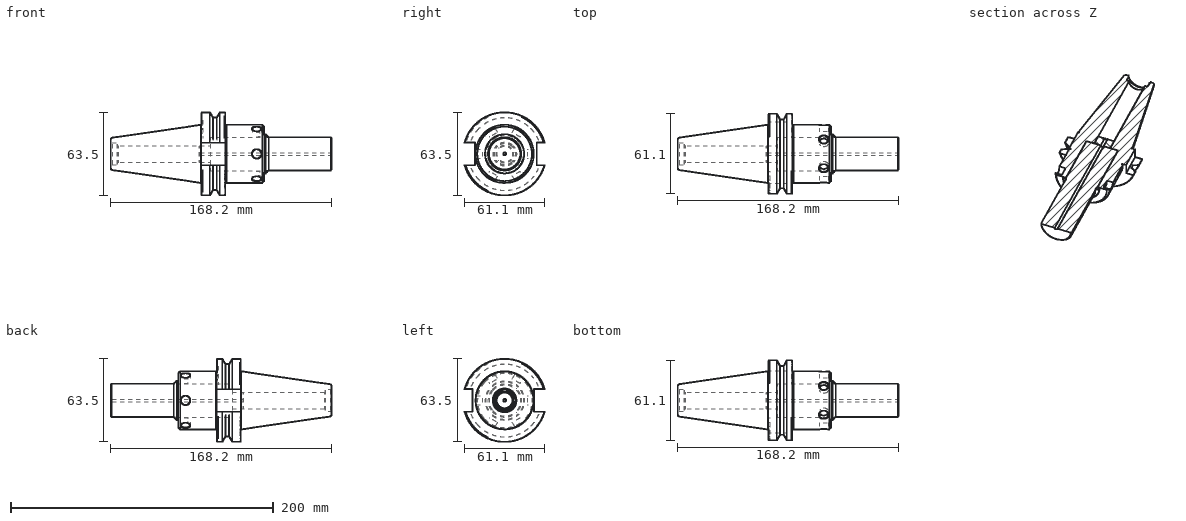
import cadquery as cq
import math

TOTAL_LENGTH = 168.2

TAPER_RATIO = 7 / 24
GAUGE_X = 68.3
GAUGE_DIAMETER = 44.5
TAPER_END_DIAMETER = GAUGE_DIAMETER - GAUGE_X * TAPER_RATIO
TAPER_END_ROUND = 2.0
RELIEF_START_X = 68.8
RELIEF_DIAMETER = 43.7

FLANGE_START_X = 69.2
FLANGE_END_X = 87.3
FLANGE_DIAMETER = 63.5
FLANGE_ROUND = 0.8
GROOVE_CENTRE_X = 79.4
GROOVE_FLOOR_WIDTH = 2.9
GROOVE_FLOOR_DIAMETER = 55.4
GROOVE_FLOOR_ROUND = 0.3
GROOVE_HALF_ANGLE = 30.0
GROOVE_DEPTH = (FLANGE_DIAMETER - GROOVE_FLOOR_DIAMETER) / 2
GROOVE_MOUTH_WIDTH = GROOVE_FLOOR_WIDTH + 2 * GROOVE_DEPTH * math.tan(math.radians(GROOVE_HALF_ANGLE))
SLOT_WIDTH = 17.2
FRONT_SLOT_FLOOR_Y = -22.5
BACK_SLOT_FLOOR_Y = 24.5

HEAD_END_X = 116.8
HEAD_DIAMETER = 44.5
HEAD_REAR_CHAMFER = 1.0
HEAD_FRONT_CHAMFER = 1.5

RADIAL_HOLE_COUNT = 6
RADIAL_HOLE_DIAMETER = 6.9
RADIAL_HOLE_CHAMFER = 0.25
RADIAL_HOLE_X = 111.2
RADIAL_HOLE_DEPTH = 5.0

MOUTH_DIAMETER = 18.2
MOUTH_CONE_LENGTH = 1.2
COUNTERBORE_DIAMETER = 16.8
COUNTERBORE_WALL_END_X = 4.9
COUNTERBORE_FLOOR_DIAMETER = 16.0
COUNTERBORE_FLOOR_X = COUNTERBORE_WALL_END_X + (COUNTERBORE_DIAMETER - COUNTERBORE_FLOOR_DIAMETER) / 2
BORE_MOUTH_DIAMETER = 13.5
BORE_DIAMETER = 12.6
BORE_CHAMFER = (BORE_MOUTH_DIAMETER - BORE_DIAMETER) / 2

PLUG_START_X = 67.3
PLUG_LENGTH = 8.4
PLUG_CHAMFER = 0.3
COOLANT_DIAMETER = 2.0

SHANK_START_X = PLUG_START_X + PLUG_LENGTH
SHANK_DIAMETER = 25.4
SHANK_CHAMFER = 0.8

COLLAR_DIAMETER = 30.0
COLLAR_NECK_DIAMETER = 28.6
COLLAR_NECK_LENGTH = 0.5
COLLAR_RIM_LENGTH = 0.7
COLLAR_CHAMFER = (COLLAR_DIAMETER - SHANK_DIAMETER) / 2
COLLAR_LENGTH = COLLAR_NECK_LENGTH + COLLAR_RIM_LENGTH + COLLAR_CHAMFER


def revolve_profile(points):
    """Turn an outline of (x, radius) points about the X axis."""
    return cq.Workplane("XY").polyline(points).close().revolve(360, (0, 0, 0), (1, 0, 0))


def cylinder(diameter, start_x, end_x):
    """Cylinder on the X axis."""
    return cq.Workplane("YZ", origin=(start_x, 0, 0)).circle(diameter / 2).extrude(end_x - start_x)


def make_taper():
    taper = revolve_profile([
        (0, 0),
        (0, TAPER_END_DIAMETER / 2),
        (GAUGE_X, GAUGE_DIAMETER / 2),
        (RELIEF_START_X, GAUGE_DIAMETER / 2),
        (RELIEF_START_X, RELIEF_DIAMETER / 2),
        (FLANGE_START_X, RELIEF_DIAMETER / 2),
        (FLANGE_START_X, 0),
    ])
    return taper.faces("<X").edges().fillet(TAPER_END_ROUND)


def make_flange():
    flange = cylinder(FLANGE_DIAMETER, FLANGE_START_X, FLANGE_END_X).edges("%CIRCLE").fillet(FLANGE_ROUND)

    groove = revolve_profile([
        (GROOVE_CENTRE_X - GROOVE_MOUTH_WIDTH / 2, FLANGE_DIAMETER / 2),
        (GROOVE_CENTRE_X - GROOVE_FLOOR_WIDTH / 2, GROOVE_FLOOR_DIAMETER / 2),
        (GROOVE_CENTRE_X + GROOVE_FLOOR_WIDTH / 2, GROOVE_FLOOR_DIAMETER / 2),
        (GROOVE_CENTRE_X + GROOVE_MOUTH_WIDTH / 2, FLANGE_DIAMETER / 2),
    ])
    floor_edges = groove.edges(cq.selectors.RadiusNthSelector(0))
    flange = flange.cut(floor_edges.fillet(GROOVE_FLOOR_ROUND))

    slot_length = FLANGE_END_X - FLANGE_START_X
    for floor_y in (FRONT_SLOT_FLOOR_Y, BACK_SLOT_FLOOR_Y):
        rim_y = math.copysign(FLANGE_DIAMETER / 2, floor_y)
        slot = cq.Workplane("XY").box(slot_length, abs(rim_y - floor_y), SLOT_WIDTH)
        flange = flange.cut(slot.translate((FLANGE_START_X + slot_length / 2, (floor_y + rim_y) / 2, 0)))
    return flange


def make_head():
    head = cylinder(HEAD_DIAMETER, FLANGE_END_X, HEAD_END_X)
    head = head.faces("<X").edges().chamfer(HEAD_REAR_CHAMFER)
    head = head.faces(">X").edges().chamfer(HEAD_FRONT_CHAMFER)
    floor_radius = HEAD_DIAMETER / 2 - RADIAL_HOLE_DEPTH
    hole = (
        cq.Workplane("XZ", origin=(RADIAL_HOLE_X, -floor_radius, 0))
        .circle(RADIAL_HOLE_DIAMETER / 2)
        .extrude(2 * RADIAL_HOLE_DEPTH)
    )
    for i in range(RADIAL_HOLE_COUNT):
        head = head.cut(hole.rotate((0, 0, 0), (1, 0, 0), i * 360 / RADIAL_HOLE_COUNT))
    return head.edges("not (%CIRCLE or %LINE)").chamfer(RADIAL_HOLE_CHAMFER)


def make_bore():
    """Stepped hole from the small end of the taper to the shank socket."""
    return revolve_profile([
        (0, 0),
        (0, MOUTH_DIAMETER / 2),
        (MOUTH_CONE_LENGTH, COUNTERBORE_DIAMETER / 2),
        (COUNTERBORE_WALL_END_X, COUNTERBORE_DIAMETER / 2),
        (COUNTERBORE_FLOOR_X, COUNTERBORE_FLOOR_DIAMETER / 2),
        (COUNTERBORE_FLOOR_X, BORE_MOUTH_DIAMETER / 2),
        (COUNTERBORE_FLOOR_X + BORE_CHAMFER, BORE_DIAMETER / 2),
        (SHANK_START_X, BORE_DIAMETER / 2),
        (SHANK_START_X, 0),
    ])


def make_holder():
    socket = cylinder(SHANK_DIAMETER, SHANK_START_X, HEAD_END_X)
    return make_taper().union(make_flange()).union(make_head()).cut(make_bore()).cut(socket)


def make_plug():
    plug = cylinder(BORE_DIAMETER, PLUG_START_X, SHANK_START_X).faces("<X").edges().chamfer(PLUG_CHAMFER)
    return plug.cut(cylinder(COOLANT_DIAMETER, PLUG_START_X, SHANK_START_X))


def make_shank():
    shank = cylinder(SHANK_DIAMETER, SHANK_START_X, TOTAL_LENGTH).faces(">X").edges().chamfer(SHANK_CHAMFER)
    return shank.cut(cylinder(COOLANT_DIAMETER, SHANK_START_X, TOTAL_LENGTH))


def make_collar():
    """Ring whose front chamfer runs down to the surface of the shank."""
    rim_start_x = HEAD_END_X + COLLAR_NECK_LENGTH
    return revolve_profile([
        (HEAD_END_X, SHANK_DIAMETER / 2),
        (HEAD_END_X, COLLAR_NECK_DIAMETER / 2),
        (rim_start_x, COLLAR_NECK_DIAMETER / 2),
        (rim_start_x, COLLAR_DIAMETER / 2),
        (rim_start_x + COLLAR_RIM_LENGTH, COLLAR_DIAMETER / 2),
        (HEAD_END_X + COLLAR_LENGTH, SHANK_DIAMETER / 2),
    ])


holder = make_holder()
plug = make_plug()
shank = make_shank()
collar = make_collar()

result = cq.Compound.makeCompound([holder.val(), plug.val(), shank.val(), collar.val()])